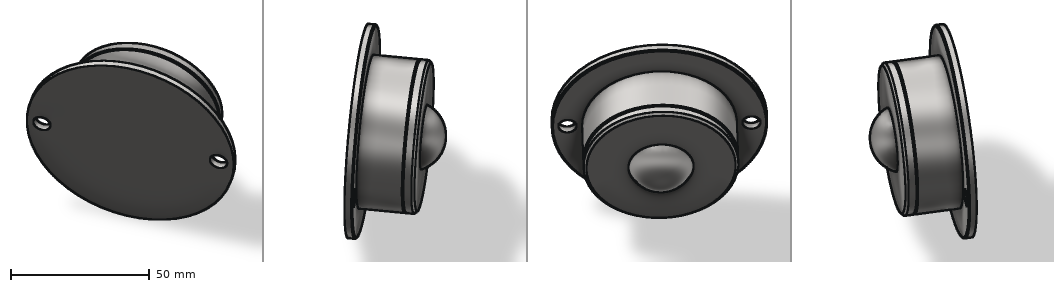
import cadquery as cq

flange_radius = 39.0
flange_thickness = 3.0
flange_chamfer = 0.5
hole_diameter = 6.5
hole_spacing = 66.5

housing_radius = 28.0
housing_top = 24.0
housing_chamfer = 1.0
groove_start = 19.5
groove_width = 0.6
groove_depth = 0.2

ball_radius = 12.7
overall_depth = 32.0
ball_center = overall_depth - ball_radius


def disc(radius, start, end):
    """Cylinder about the Y axis between two Y positions."""
    return cq.Workplane("XZ", origin=(0, start, 0)).circle(radius).extrude(start - end)


def make_flange():
    flange = disc(flange_radius, 0, flange_thickness)
    flange = flange.faces(">Y").edges().chamfer(flange_chamfer)
    for side in (-1, 1):
        hole = disc(hole_diameter / 2, 0, flange_thickness)
        flange = flange.cut(hole.translate((side * hole_spacing / 2, 0, 0)))
    return flange


def make_housing():
    housing = disc(housing_radius, 0, housing_top)
    housing = housing.faces(">Y").edges().chamfer(housing_chamfer)
    groove_end = groove_start + groove_width
    groove_core = disc(housing_radius - groove_depth, groove_start, groove_end)
    groove = disc(housing_radius, groove_start, groove_end).cut(groove_core)
    return housing.cut(groove)


def make_ball():
    return cq.Workplane("XY").sphere(ball_radius).translate((0, ball_center, 0))


result = make_flange().union(make_housing()).union(make_ball())